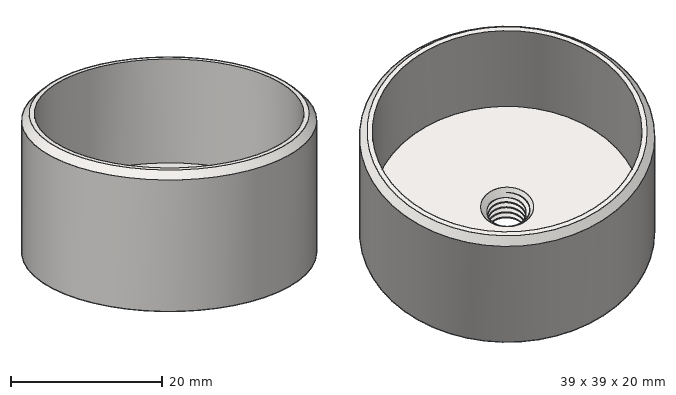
import cadquery as cq
import math

outer_diameter = 39.0
cavity_diameter = 35.62
height = 20.0
floor_thickness = 5.0
rim_chamfer = 1.0

thread_diameter = 6.0
minor_diameter = 5.035
thread_pitch = 1.0
flank_angle = 30.0
countersink_diameter = 7.0
root_flat = thread_pitch / 4
bore_overlap = 0.05


def make_cup():
    """Cup with a chamfered outer rim and a plain cylindrical cavity."""
    body = cq.Workplane("XY").circle(outer_diameter / 2).extrude(height)
    body = body.faces(">Z").edges().chamfer(rim_chamfer)
    cavity = (
        cq.Workplane("XY")
        .workplane(offset=floor_thickness)
        .circle(cavity_diameter / 2)
        .extrude(height - floor_thickness)
    )
    return body.cut(cavity)


def make_bore():
    """Bore at the thread's minor diameter with a 45 degree countersink at the floor."""
    minor_radius = minor_diameter / 2
    countersink_radius = countersink_diameter / 2
    countersink_depth = countersink_radius - minor_radius
    return (
        cq.Workplane("XZ")
        .moveTo(0, 0)
        .lineTo(minor_radius, 0)
        .lineTo(minor_radius, floor_thickness - countersink_depth)
        .lineTo(countersink_radius, floor_thickness)
        .lineTo(0, floor_thickness)
        .close()
        .revolve(360, (0, 0), (0, 1))
    )


def make_thread_groove():
    """Helical groove of trapezoidal section, one pitch longer than the floor at each end."""
    root_radius = thread_diameter / 2
    mouth_radius = minor_diameter / 2 - bore_overlap
    half_root = root_flat / 2
    half_mouth = half_root + (root_radius - mouth_radius) * math.tan(math.radians(flank_angle))
    section = [
        (mouth_radius, -half_mouth),
        (root_radius, -half_root),
        (root_radius, half_root),
        (mouth_radius, half_mouth),
    ]
    groove_length = floor_thickness + 2 * thread_pitch
    edges = []
    for radius, z in section:
        helix = cq.Wire.makeHelix(thread_pitch, groove_length, radius)
        edges.append(helix.translate(cq.Vector(0, 0, z - thread_pitch)))

    faces = []
    for index, edge in enumerate(edges):
        faces.append(cq.Face.makeRuledSurface(edge, edges[(index + 1) % len(edges)]))
    for end in (0, 1):
        corners = [edge.positionAt(end) for edge in edges]
        faces.append(cq.Face.makeFromWires(cq.Wire.makePolygon(corners, close=True)))
    groove = cq.Solid.makeSolid(cq.Shell.makeShell(faces))
    return cq.Workplane(obj=groove)


result = make_cup().cut(make_thread_groove()).cut(make_bore())